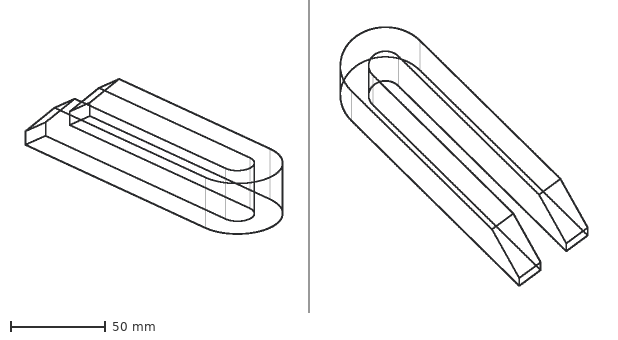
import cadquery as cq

length = 160.0
width = 48.0
height = 30.0
slot_width = 18.0
nose_height = 8.0

heel_radius = width / 2
heel_center_x = length / 2 - heel_radius
slot_radius = slot_width / 2
nose_x = -length / 2
bevel = height - nose_height


def rounded_bar(radius):
    """Full-height bar from the nose to a half-round end of the given radius."""
    return (
        cq.Workplane("XY")
        .moveTo(nose_x, -radius)
        .lineTo(heel_center_x, -radius)
        .threePointArc((heel_center_x + radius, 0), (heel_center_x, radius))
        .lineTo(nose_x, radius)
        .close()
        .extrude(height)
    )


def nose_bevel():
    """Wedge removed from the top of both prong tips."""
    return (
        cq.Workplane("XZ")
        .moveTo(nose_x, nose_height)
        .lineTo(nose_x + bevel, height)
        .lineTo(nose_x, height)
        .close()
        .extrude(width / 2, both=True)
    )


result = rounded_bar(heel_radius).cut(rounded_bar(slot_radius)).cut(nose_bevel())